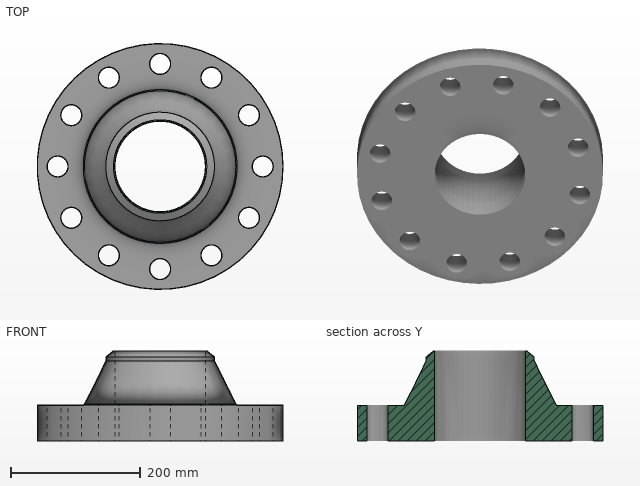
import cadquery as cq

flange_diameter = 381.0
flange_thickness = 55.5

overall_height = 139.8
hub_base_diameter = 238.5
hub_cone_base_diameter = 234.5
hub_foot_height = 2.0
neck_diameter = 168.5
neck_band_height = 6.0
weld_bevel_height = 9.5
weld_land_diameter = 144.7
bore_diameter = 140.0

bolt_hole_count = 12
bolt_circle_diameter = 317.5
bolt_hole_diameter = 32.0

foot_top = flange_thickness + hub_foot_height
bevel_start = overall_height - weld_bevel_height
cone_top = bevel_start - neck_band_height


def flange_body():
    """Plate, tapered hub and bevelled weld end, revolved around the bore axis."""
    bore_radius = bore_diameter / 2
    flange_radius = flange_diameter / 2
    profile = (
        cq.Workplane("XZ")
        .moveTo(bore_radius, 0)
        .lineTo(flange_radius, 0)
        .lineTo(flange_radius, flange_thickness)
        .lineTo(hub_base_diameter / 2, flange_thickness)
        .lineTo(hub_cone_base_diameter / 2, foot_top)
        .lineTo(neck_diameter / 2, cone_top)
        .lineTo(neck_diameter / 2, bevel_start)
        .lineTo(weld_land_diameter / 2, overall_height)
        .lineTo(bore_radius, overall_height)
        .close()
    )
    return profile.revolve(360, (0, 0, 0), (0, 1, 0))


def bolt_holes():
    """Through holes evenly spaced on the bolt circle, the first on the +X axis."""
    return (
        cq.Workplane("XY")
        .polarArray(bolt_circle_diameter / 2, 0, 360, bolt_hole_count)
        .circle(bolt_hole_diameter / 2)
        .extrude(flange_thickness)
    )


result = flange_body().cut(bolt_holes())